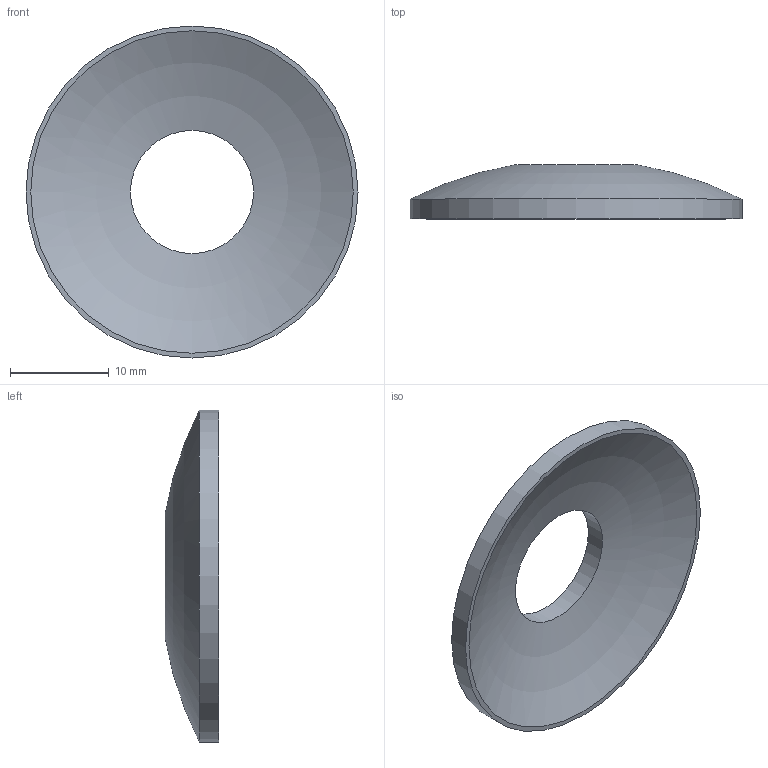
import cadquery as cq
import math

outer_diameter = 33.7
hole_diameter = 12.5
rim_width = 2.0
crown_height = 6.0
shell_thickness = 2.0

outer_radius = outer_diameter / 2
hole_radius = hole_diameter / 2

dome_rise = crown_height - rim_width
dome_radius = (outer_radius**2 + dome_rise**2) / (2 * dome_rise)
hollow_radius = dome_radius - shell_thickness
sphere_center_y = crown_height - dome_radius


def sphere_y(sphere_radius, radius):
    """Y of a sphere's surface at the given distance from the washer axis."""
    return sphere_center_y + math.sqrt(sphere_radius**2 - radius**2)


hollow_rim_radius = math.sqrt(hollow_radius**2 - sphere_center_y**2)


def sphere_point(sphere_radius, radius):
    """Profile point on a sphere at the given distance from the washer axis."""
    return (radius, sphere_y(sphere_radius, radius))


def dished_washer():
    """Revolve the radial section of the washer around the Y axis."""
    dome_middle_radius = (outer_radius + hole_radius) / 2
    hollow_middle_radius = (hollow_rim_radius + hole_radius) / 2
    section = (
        cq.Workplane("XY")
        .moveTo(hollow_rim_radius, 0)
        .lineTo(outer_radius, 0)
        .lineTo(outer_radius, rim_width)
        .threePointArc(
            sphere_point(dome_radius, dome_middle_radius),
            sphere_point(dome_radius, hole_radius),
        )
        .lineTo(*sphere_point(hollow_radius, hole_radius))
        .threePointArc(
            sphere_point(hollow_radius, hollow_middle_radius),
            (hollow_rim_radius, 0),
        )
        .close()
    )
    return section.revolve(360, (0, 0, 0), (0, 1, 0))


result = dished_washer()